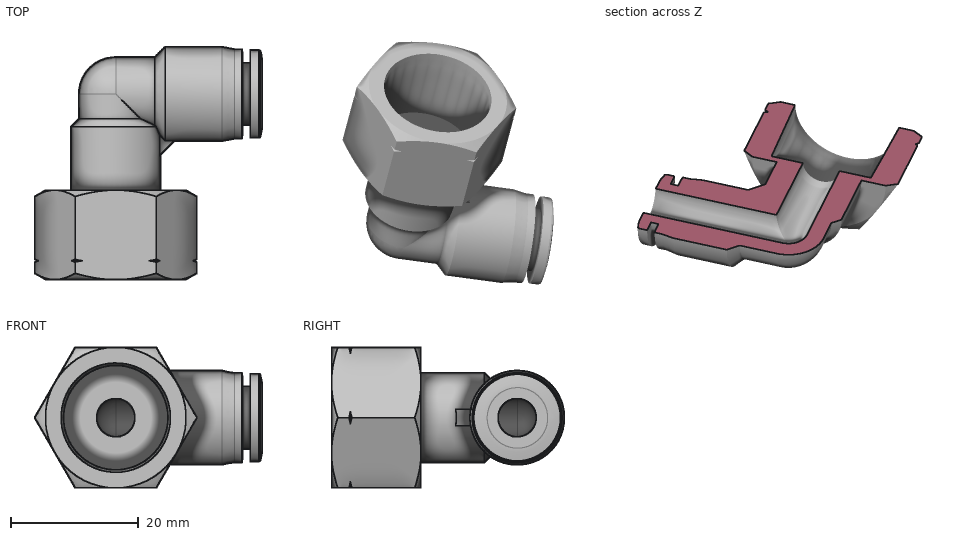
import cadquery as cq
import math


across_flats = 22.0
nut_start = 15.05
nut_end = 29.0
corner_chamfer_angle = math.radians(30)
groove_position = 26.05
groove_half_width = 0.22
groove_depth = 0.5

thread_mouth_radius = 8.55
thread_depth = 12.8
thread_taper = 1 / 16
thread_floor_radius = thread_mouth_radius - thread_depth * thread_taper / 2
flow_radius = 3.0

elbow_radius = 5.8
barrel_radius = 7.03
barrel_cone_start = 3.9
barrel_cone_end = barrel_cone_start + barrel_radius - elbow_radius

sleeve_radius = 7.4
sleeve_cone_start = 6.1
sleeve_cone_end = sleeve_cone_start + sleeve_radius - elbow_radius
sleeve_taper_start = 16.55
sleeve_band_start = 18.53
sleeve_band_radius = 7.03
sleeve_band_end = 19.73
sleeve_end = 19.85
sleeve_end_radius = 6.37
neck_radius = 4.9
flange_start = 21.0
flange_radius = 6.88
flange_rim_end = 22.35
flange_crown_start = 22.6
flange_crown_radius = 6.77
flange_end = 22.95
flange_face_radius = 4.75

gusset_thickness = 2.55
gusset_leg = 16.53


def revolve_about_y(points):
    """Turn (radius, distance along -Y) points about the Y axis."""
    profile = [(radius, -distance) for radius, distance in points]
    return cq.Workplane("XY").polyline(profile).close().revolve(360, (0, 0, 0), (0, 1, 0))


def make_nut():
    flat_radius = across_flats / 2
    corner_radius = flat_radius / math.cos(math.pi / 6)
    chamfer_length = (corner_radius - flat_radius) * math.tan(corner_chamfer_angle)
    hexagon = (
        cq.Workplane("XZ", origin=(0, -nut_start, 0))
        .polygon(6, 2 * corner_radius)
        .extrude(nut_end - nut_start)
    )
    envelope = revolve_about_y([
        (0, nut_start),
        (flat_radius, nut_start),
        (corner_radius, nut_start + chamfer_length),
        (corner_radius, groove_position - groove_half_width),
        (corner_radius - groove_depth, groove_position),
        (corner_radius, groove_position + groove_half_width),
        (corner_radius, nut_end - chamfer_length),
        (flat_radius, nut_end),
        (0, nut_end),
    ])
    return hexagon.intersect(envelope)


def make_barrel():
    return revolve_about_y([
        (0, 0),
        (elbow_radius, 0),
        (elbow_radius, barrel_cone_start),
        (barrel_radius, barrel_cone_end),
        (barrel_radius, nut_start),
        (0, nut_start),
    ])


def make_sleeve():
    crown_width = flange_crown_radius - flange_face_radius
    crown_height = flange_end - flange_crown_start
    arc_radius = (crown_width**2 + crown_height**2) / (2 * crown_height)
    half_angle = math.atan2(crown_height, crown_width)
    crown_middle = (
        flange_end - arc_radius * (1 - math.cos(half_angle)),
        flange_face_radius + arc_radius * math.sin(half_angle),
    )
    profile = (
        cq.Workplane("XY")
        .polyline([
            (0, 0),
            (0, elbow_radius),
            (sleeve_cone_start, elbow_radius),
            (sleeve_cone_end, sleeve_radius),
            (sleeve_taper_start, sleeve_radius),
            (sleeve_band_start, sleeve_band_radius),
            (sleeve_band_end, sleeve_band_radius),
            (sleeve_end, sleeve_end_radius),
            (sleeve_end, neck_radius),
            (flange_start, neck_radius),
            (flange_start, flange_radius),
            (flange_rim_end, flange_radius),
            (flange_crown_start, flange_crown_radius),
        ])
        .threePointArc(crown_middle, (flange_end, flange_face_radius))
        .lineTo(flange_end, 0)
        .close()
    )
    return profile.revolve(360, (0, 0, 0), (1, 0, 0))


def make_gusset():
    return (
        cq.Workplane("XY")
        .polyline([(0, 0), (gusset_leg, 0), (0, -gusset_leg)])
        .close()
        .extrude(gusset_thickness / 2, both=True)
    )


def make_passage():
    thread_bore = revolve_about_y([
        (0, nut_end - thread_depth),
        (thread_floor_radius, nut_end - thread_depth),
        (thread_mouth_radius, nut_end),
        (0, nut_end),
    ])
    nut_channel = cq.Workplane("XZ").circle(flow_radius).extrude(nut_end)
    sleeve_channel = cq.Workplane("YZ").circle(flow_radius).extrude(flange_end)
    corner = cq.Workplane("XY").sphere(flow_radius)
    return thread_bore.union(nut_channel).union(sleeve_channel).union(corner)


outer_corner = cq.Workplane("XY").sphere(elbow_radius)
body = outer_corner.union(make_barrel()).union(make_sleeve()).union(make_gusset()).union(make_nut())
result = body.cut(make_passage())